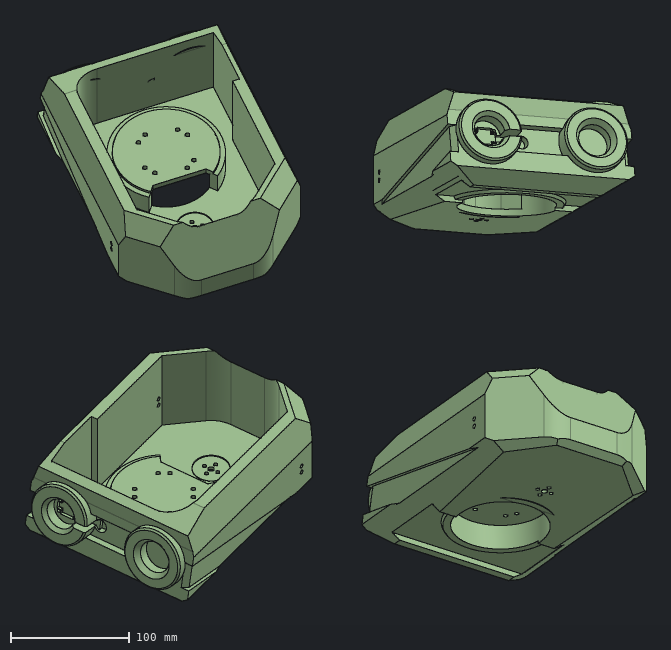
import cadquery as cq
import math

length = 237.2
width = 167.2
height = 88.0
half_width = width / 2
margin = 23.7

front_top_x = 18.0
fold_z = 63.5
lean = math.radians(12.2)
chin_z = 12.8
chin_run = 12.8
brow_z = 79.0
brow_end_x = 46.7
rear_top_x = 213.5
rear_slope_z = 34.2
rear_bevel_x = 230.8
keel_x = 88.7
rear_bevel_z = 7.4

shoulder_z = 58.5
rim_half_width = 74.0
bilge_z = 16.4
bottom_half_width = 58.3

corner_angle = math.radians(47.1)
left_corner_x = 191.6
right_corner_x = 194.2
rear_round = 31.3
corner_bevel_z = 73.0

floor_z = 8.0
pocket_front_x = 27.0
pocket_rear_x = 216.8
pocket_half_width = 63.5
pocket_left_corner_x = 183.0
pocket_right_corner_x = 186.0
pocket_front_round = 27.0
pocket_rear_round = 29.6
widening_y = 69.7
widening_end_x = 86.5

turret_x = 94.0
turret_radius = 50.3
turret_shelf_z = 28.5
turret_top_radius = 45.8
turret_top_z = 30.8
turret_bore_radius = 42.2
turret_roof = 5.7
turret_gap_angle = math.radians(38.5)
turret_gap_x = 124.3
turret_hole_circle = 25.4
turret_hole_radius = 2.0
turret_hole_angles = (23.0, 46.0)
turret_foot_z = 2.4
turret_foot_radius = 48.9

slot_start_x = 28.0
slot_roof_z = 5.2

servo_x = 162.5
servo_y = -1.2
servo_radius = 16.1
servo_recess = 1.0
servo_hub_radius = 2.5
servo_screw_circle = 6.9
servo_screw_radius = 1.7

side_hole_x = 178.0
side_hole_heights = (34.6, 41.7)
side_hole_radius = 1.78

eye_y = 48.0
eye_z = 44.5
eye_radius = 28.5
eye_height = 8.5
eye_root = 8.0
eye_chamfer = 1.7
eye_bore_depth = 14.2
plain_eye_bore = (18.3, 14.5, 5.2)
sensor_eye_bore = (17.0, 13.8, 3.8)

seat_width = 20.9
seat_height = 15.0
seat_depth = 3.5
seat_post = 4.0
seat_hole_radius = 1.5
seat_hole_spacing = (16.5, 10.7)
channel_height = 6.2
channel_offset = -1.7
channel_depth = 17.5
cable_hole_y = 14.7
cable_hole_offset = -2.5
cable_hole_radii = (6.0, 4.7)
cable_hole_depth = 5.2
cable_step_y = 16.1

band_depth = 7.4
band_top = 10.2
band_bottom = -15.0
groove_top = 5.5
groove_bottom = -19.7
groove_depth = 3.0
groove_mouth_depth = 7.8
groove_mouth_length = 5.0

face_x = front_top_x - (fold_z - eye_z) * math.tan(lean)
chin_x = front_top_x - (fold_z - chin_z) * math.tan(lean)


def face_plane(y=0.0, offset=0.0):
    """Plane on the front face: local x runs to -Y, local y up the face, normal points outwards."""
    normal = cq.Vector(-math.cos(lean), 0, math.sin(lean))
    origin = cq.Vector(face_x, y, eye_z) + normal * offset
    return cq.Plane(origin=origin, xDir=(0, -1, 0), normal=normal)


def corner_trim(side, corner_x):
    """Solid on the inner side of one bevelled rear corner; side is +1 for +Y, -1 for -Y."""
    reach = 2 * length
    bevel_slope = (chin_z - rear_bevel_z) / (length - rear_bevel_x)
    outward = (math.sin(corner_angle), side * math.cos(corner_angle), 0)
    plane = cq.Plane(
        origin=(corner_x, side * half_width, 0),
        xDir=outward,
        normal=(outward[1], -outward[0], 0),
    )
    outline = [
        (-reach, 0),
        (-chin_z / bevel_slope, 0),
        (0, chin_z),
        (0, corner_bevel_z),
        (corner_bevel_z - height, height),
        (-reach, height),
    ]
    return cq.Workplane(plane).polyline(outline).close().extrude(reach, both=True)


def make_hull():
    side = [
        (chin_x, chin_z),
        (front_top_x, fold_z),
        (front_top_x, brow_z),
        (brow_end_x, height),
        (rear_top_x, height),
        (length, rear_slope_z),
        (length, chin_z),
        (rear_bevel_x, rear_bevel_z),
        (keel_x, 0),
        (chin_x + chin_run, 0),
    ]
    hull = cq.Workplane("XZ").polyline(side).close().extrude(half_width, both=True)

    section = [
        (bottom_half_width, 0),
        (half_width, bilge_z),
        (half_width, shoulder_z),
        (rim_half_width, height),
    ]
    section += [(-y, z) for y, z in reversed(section)]
    hull = hull.intersect(cq.Workplane("YZ").polyline(section).close().extrude(length))

    left_end_y = half_width - (length - left_corner_x) * math.tan(corner_angle)
    right_end_y = half_width - (length - right_corner_x) * math.tan(corner_angle)
    plan = [
        (0, -half_width),
        (right_corner_x, -half_width),
        (length, -right_end_y),
        (length, left_end_y),
        (left_corner_x, half_width),
        (0, half_width),
    ]
    plan_trim = cq.Workplane("XY").polyline(plan).close().extrude(height)
    plan_trim = plan_trim.edges("|Z and >X").fillet(rear_round)
    hull = hull.intersect(plan_trim)
    hull = hull.intersect(corner_trim(1, left_corner_x))
    return hull.intersect(corner_trim(-1, right_corner_x))


def make_pocket():
    depth = height - floor_z
    rear_slope = math.tan(corner_angle)
    left_end_y = pocket_half_width - (pocket_rear_x - pocket_left_corner_x) * rear_slope
    right_end_y = pocket_half_width - (pocket_rear_x - pocket_right_corner_x) * rear_slope
    outline = [
        (pocket_front_x, -pocket_half_width),
        (pocket_right_corner_x, -pocket_half_width),
        (pocket_rear_x, -right_end_y),
        (pocket_rear_x, left_end_y),
        (pocket_left_corner_x, pocket_half_width),
        (widening_end_x, pocket_half_width),
        (widening_end_x, widening_y),
        (pocket_front_x, widening_y),
    ]
    pocket = cq.Workplane("XY", origin=(0, 0, floor_z)).polyline(outline).close().extrude(depth)
    pocket = pocket.edges("|Z and >X").fillet(pocket_rear_round)
    return pocket.edges("|Z and <X and <Y").fillet(pocket_front_round)


def cylinder(x, y, radius, bottom, top):
    return cq.Workplane("XY", origin=(x, y, bottom)).circle(radius).extrude(top - bottom)


def make_turret():
    shelf = cylinder(turret_x, 0, turret_radius, slot_roof_z, turret_shelf_z)
    drum = cylinder(turret_x, 0, turret_top_radius, floor_z, turret_top_z)
    foot_height = slot_roof_z - turret_foot_z
    foot_taper = math.degrees(math.atan((turret_radius - turret_foot_radius) / foot_height))
    foot = (
        cq.Workplane("XY", origin=(turret_x, 0, slot_roof_z))
        .circle(turret_radius)
        .extrude(-foot_height, taper=foot_taper)
    )
    return shelf.union(drum).union(foot)


def make_turret_gap():
    """Rear sector of the turret, open down to the floor."""
    reach = 1.5 * turret_radius
    near_y = (turret_gap_x - turret_x) * math.tan(turret_gap_angle)
    far_y = reach * math.tan(turret_gap_angle)
    outline = [
        (turret_gap_x, -near_y),
        (turret_x + reach, -far_y),
        (turret_x + reach, far_y),
        (turret_gap_x, near_y),
    ]
    return cq.Workplane("XY", origin=(0, 0, floor_z)).polyline(outline).close().extrude(height)


def make_turret_holes():
    bore = cylinder(turret_x, 0, turret_bore_radius, -margin, turret_top_z - turret_roof)
    for angle in turret_hole_angles:
        screws = (
            cq.Workplane("XY", origin=(turret_x, 0, 0))
            .polarArray(turret_hole_circle, angle, 360, 4)
            .circle(turret_hole_radius)
            .extrude(height)
        )
        bore = bore.union(screws)
    return bore


def make_servo_seat():
    seat = cylinder(servo_x, servo_y, servo_radius, floor_z - servo_recess, floor_z)
    seat = seat.union(cylinder(servo_x, servo_y, servo_hub_radius, -margin, floor_z))
    screws = (
        cq.Workplane("XY", origin=(servo_x, servo_y, 0))
        .polarArray(servo_screw_circle, 0, 360, 4)
        .circle(servo_screw_radius)
        .extrude(floor_z)
    )
    return seat.union(screws)


def make_side_holes():
    return (
        cq.Workplane("XZ")
        .pushPoints([(side_hole_x, z) for z in side_hole_heights])
        .circle(side_hole_radius)
        .extrude(width, both=True)
    )


def make_bottom_slot():
    return (
        cq.Workplane("XY", origin=((slot_start_x + keel_x) / 2, 0, 0))
        .rect(keel_x - slot_start_x, width + margin)
        .extrude(slot_roof_z)
    )


def make_side_groove(side):
    """Groove square to the front face, with a deeper slanted mouth at the front."""
    mid = (groove_top + groove_bottom) / 2
    half_height = (groove_top - groove_bottom) / 2
    face = face_plane()
    plane = cq.Plane(origin=face.toWorldCoords((0, mid)), xDir=-face.zDir, normal=face.yDir)
    edge = side * half_width
    outline = [
        (-margin, edge + side * margin),
        (-margin, edge - side * groove_mouth_depth),
        (0, edge - side * groove_mouth_depth),
        (groove_mouth_length, edge - side * groove_depth),
        (length, edge - side * groove_depth),
        (length, edge + side * margin),
    ]
    return cq.Workplane(plane).polyline(outline).close().extrude(half_height, both=True)


def make_band():
    return (
        cq.Workplane(face_plane())
        .center(0, (band_top + band_bottom) / 2)
        .rect(2 * eye_y, band_top - band_bottom)
        .extrude(-band_depth)
    )


def make_eye(y):
    outer_face = cq.selectors.DirectionMinMaxSelector(face_plane().zDir, True)
    eye = cq.Workplane(face_plane(y, -eye_root)).circle(eye_radius).extrude(eye_root + eye_height)
    return eye.faces(outer_face).chamfer(eye_chamfer)


def make_eye_bore(y, mouth_radius, inner_radius, cone_depth):
    taper = math.degrees(math.atan((mouth_radius - inner_radius) / cone_depth))
    cone = cq.Workplane(face_plane(y, eye_height)).circle(mouth_radius).extrude(-cone_depth, taper=taper)
    core = cq.Workplane(face_plane(y, eye_height)).circle(inner_radius).extrude(-eye_bore_depth)
    return cone.union(core)


def make_sensor_seat():
    """Rectangular seat with four corner posts, each with a screw hole."""
    plane = face_plane(eye_y, eye_height - eye_bore_depth)
    seat = cq.Workplane(plane).rect(seat_width, seat_height).extrude(-seat_depth)
    posts = (
        cq.Workplane(plane)
        .rect(seat_width - seat_post, seat_height - seat_post, forConstruction=True)
        .vertices()
        .rect(seat_post, seat_post)
        .extrude(-seat_depth)
    )
    holes = (
        cq.Workplane(plane)
        .rect(*seat_hole_spacing, forConstruction=True)
        .vertices()
        .circle(seat_hole_radius)
        .extrude(-seat_depth)
    )
    return seat.cut(posts).union(holes)


def make_cable_channel():
    """Channel through the eye wall, and a tapered hole whose floor steps up to the channel floor."""
    step_run = eye_y - cable_step_y
    channel = (
        cq.Workplane(face_plane(eye_y, eye_height))
        .center(eye_radius / 2, channel_offset)
        .rect(eye_radius, channel_height)
        .extrude(-channel_depth)
    )
    mouth_radius, end_radius = cable_hole_radii
    taper = math.degrees(math.atan((mouth_radius - end_radius) / cable_hole_depth))
    hole = (
        cq.Workplane(face_plane(cable_hole_y, -band_depth))
        .center(0, cable_hole_offset)
        .circle(mouth_radius)
        .extrude(-cable_hole_depth, taper=taper)
    )
    step = (
        cq.Workplane(face_plane(eye_y, eye_height - channel_depth))
        .center(step_run / 2, 0)
        .rect(step_run, eye_radius)
        .extrude(-margin)
    )
    return channel.union(hole.cut(step))


body = make_hull().cut(make_pocket()).cut(make_bottom_slot())
body = body.cut(make_side_groove(1)).cut(make_side_groove(-1)).cut(make_band())
body = body.cut(make_side_holes())

body = body.union(make_turret()).cut(make_turret_gap())
body = body.cut(make_turret_holes()).cut(make_servo_seat())

body = body.union(make_eye(eye_y)).union(make_eye(-eye_y))
body = body.cut(make_eye_bore(-eye_y, *plain_eye_bore))
body = body.cut(make_eye_bore(eye_y, *sensor_eye_bore))
body = body.cut(make_sensor_seat()).cut(make_cable_channel())

result = body